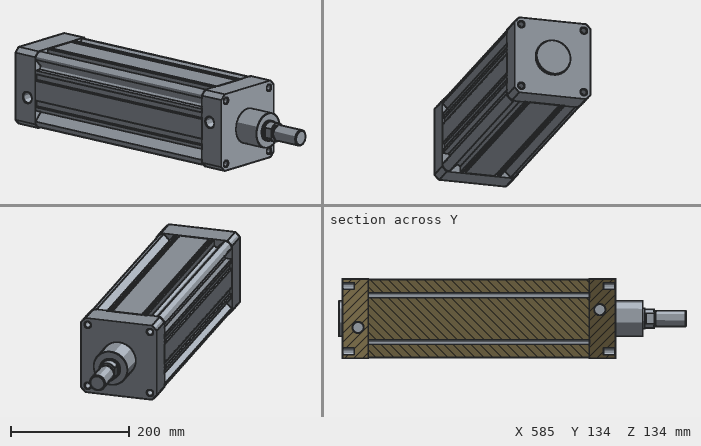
import cadquery as cq
import math

pilot_length = 6
cap_length = 44
body_length = 460
boss_length = 46
lip_length = 3.5
overall_length = 585

rear_cap_start = pilot_length
tube_start = rear_cap_start + cap_length
front_cap_end = rear_cap_start + body_length
front_cap_start = front_cap_end - cap_length
tube_length = front_cap_start - tube_start
boss_end = front_cap_end + boss_length
lip_end = boss_end + lip_length

cap_width = 134
cap_corner_diameter = 178
boss_diameter = 60
boss_chamfer = 0.5
lip_diameter = 35
bolt_spacing = 110
bolt_hole_diameter = 10.2
bolt_hole_depth = 20
bolt_countersink = 1.1
port_diameter = 18.6
port_depth = 20
port_countersink = 1
port_offset = 15
port_from_end = 26.5

tube_half = 66
column_radius = 12
column_edge = tube_half - column_radius
notch_floor = 40.2
notch_wall = 35
notch_fillet = 2.5
floor_angle = 32
slot_inner = 26
slot_width = 5
slot_depth = 3
groove_inner = 17
groove_outer = 29
groove_depth = 3
groove_side_run = 1.5

rod_diameter = 32
thread_diameter = 27
thread_length = 54
relief_diameter = 23.5
relief_length = 3
thread_chamfer = 1.5
flats_width = 27
flats_length = 13.5

shoulder = overall_length - thread_length


def axial_cylinder(diameter, start, end):
    return cq.Workplane("YZ", origin=(start, 0, 0)).circle(diameter / 2).extrude(end - start)


def cap_block(start):
    """Square block with its long corners turned to an arc."""
    block = cq.Workplane("YZ", origin=(start, 0, 0)).rect(cap_width, cap_width).extrude(cap_length)
    return block.intersect(axial_cylinder(cap_corner_diameter, start, start + cap_length))


def countersunk_hole(diameter, depth, countersink):
    """Blind-hole cutter along +X with a 45 degree countersink at the origin."""
    radius = diameter / 2
    half_section = cq.Workplane("XY").polyline([
        (0, 0),
        (0, radius + countersink),
        (countersink, radius),
        (depth, radius),
        (depth, 0),
    ]).close()
    return half_section.revolve(360, (0, 0, 0), (1, 0, 0))


def bolt_holes(outer_face, direction):
    """Four bolt-hole cutters from an outer cap face, running along direction (+1 or -1) in X."""
    hole = countersunk_hole(bolt_hole_diameter, bolt_hole_depth, bolt_countersink)
    if direction < 0:
        hole = hole.mirror("YZ")
    holes = cq.Workplane("YZ")
    for y in (-bolt_spacing / 2, bolt_spacing / 2):
        for z in (-bolt_spacing / 2, bolt_spacing / 2):
            holes = holes.add(hole.translate((outer_face, y, z)))
    return holes.combine()


def port(x, z):
    """Blind port cutter entering the -Y face."""
    hole = countersunk_hole(port_diameter, port_depth, port_countersink)
    return hole.rotate((0, 0, 0), (0, 0, 1), 90).translate((x, -cap_width / 2, z))


def make_rear_cap():
    pilot = axial_cylinder(boss_diameter, 0, rear_cap_start).faces("<X").chamfer(boss_chamfer)
    cap = cap_block(rear_cap_start).union(pilot)
    cap = cap.cut(bolt_holes(rear_cap_start, 1))
    return cap.cut(port(rear_cap_start + port_from_end, -port_offset))


def make_front_cap():
    boss = axial_cylinder(boss_diameter, front_cap_end, boss_end).faces(">X").chamfer(boss_chamfer)
    cap = cap_block(front_cap_start).union(boss)
    cap = cap.union(axial_cylinder(lip_diameter, boss_end, lip_end))
    cap = cap.cut(axial_cylinder(rod_diameter, front_cap_start, lip_end))
    cap = cap.cut(bolt_holes(front_cap_end, -1))
    return cap.cut(port(front_cap_end - port_from_end, port_offset))


def tube_prism(points):
    return cq.Workplane("YZ", origin=(tube_start, 0, 0)).polyline(points).close().extrude(tube_length)


def notch():
    """Cutter for the notch between the top face and its +Y corner column."""
    floor_z = tube_half - (column_edge - notch_floor)
    wall_foot_z = floor_z + (notch_floor - notch_wall) * math.tan(math.radians(floor_angle))
    cutter = tube_prism([
        (notch_wall, tube_half),
        (notch_wall, wall_foot_z),
        (notch_floor, floor_z),
        (column_edge, tube_half),
    ])
    valley = cq.selectors.NearestToPointSelector((tube_start + tube_length / 2, notch_floor, floor_z))
    return cutter.edges("|X").edges(valley).fillet(notch_fillet)


def slot():
    """Cutter for the narrow rectangular slot on the +Y half of the top face."""
    slot_outer = slot_inner + slot_width
    return tube_prism([
        (slot_inner, tube_half),
        (slot_inner, tube_half - slot_depth),
        (slot_outer, tube_half - slot_depth),
        (slot_outer, tube_half),
    ])


def groove():
    """Cutter for the wide tapered groove, drawn on the +Y half of the top face."""
    return tube_prism([
        (groove_inner, tube_half),
        (groove_inner + groove_side_run, tube_half - groove_depth),
        (groove_outer - groove_side_run, tube_half - groove_depth),
        (groove_outer, tube_half),
    ])


def make_tube():
    width = 2 * tube_half
    tube = cq.Workplane("YZ", origin=(tube_start, 0, 0)).rect(width, width).extrude(tube_length)
    tube = tube.edges("|X").fillet(column_radius)
    for quarter in range(4):
        channel = slot() if quarter % 2 == 0 else groove()
        for cutter in (notch(), channel):
            for half in (cutter, cutter.mirror("XZ")):
                tube = tube.cut(half.rotate((0, 0, 0), (1, 0, 0), 90 * quarter))
    return tube


def make_rod():
    rod = axial_cylinder(rod_diameter, front_cap_start, shoulder)
    relief_end = shoulder + relief_length
    thread = axial_cylinder(thread_diameter, relief_end, overall_length).faces(">X").chamfer(thread_chamfer)
    rod = rod.union(axial_cylinder(relief_diameter, shoulder, relief_end)).union(thread)
    for side in (-1, 1):
        beyond_flat = cq.Workplane("XY").box(flats_length, rod_diameter, rod_diameter)
        y = side * (flats_width + rod_diameter) / 2
        rod = rod.cut(beyond_flat.translate((shoulder - flats_length / 2, y, 0)))
    return rod


rear_cap = make_rear_cap()
tube = make_tube()
front_cap = make_front_cap()
rod = make_rod()

result = cq.Compound.makeCompound([rear_cap.val(), tube.val(), front_cap.val(), rod.val()])